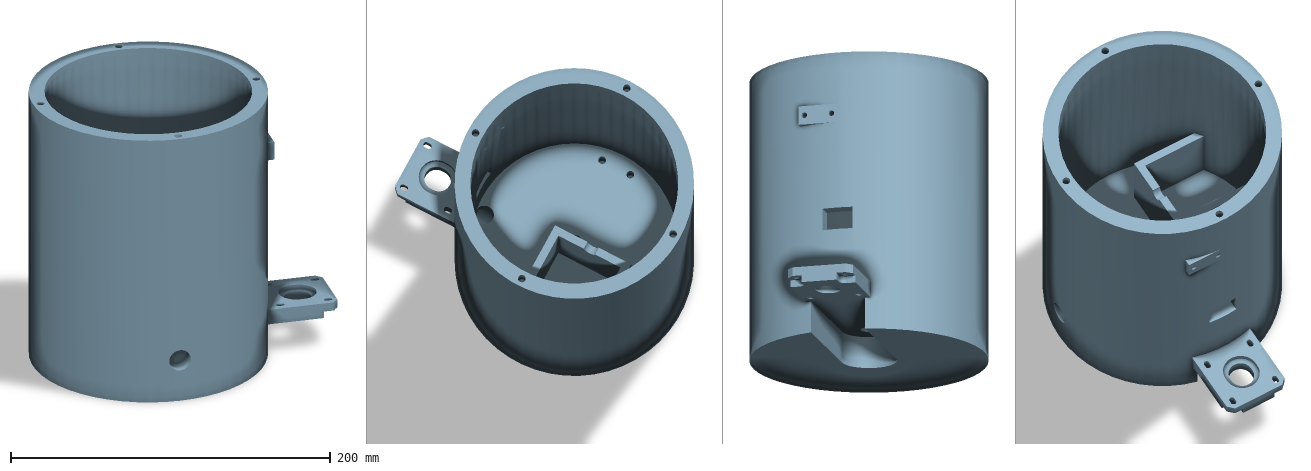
import cadquery as cq

outer_diameter = 150.0
bore_diameter = 130.0
height = 180.0
floor_height = 40.0
outer_radius = outer_diameter / 2
bore_radius = bore_diameter / 2
mid_wall_diameter = (outer_diameter + bore_diameter) / 2
wall_cut_start = 0.9 * bore_radius

screw_diameter = 4.8
screw_depth = 10.0
rim_screw_radius = mid_wall_diameter / 2
floor_screw_x = 56.0
floor_screw_offset = 10.0

chamber_width = 35.1
chamber_height = 20.0
shaft_hole_diameter = 11.0

plate_width = 42.0
plate_thickness = 10.0
overall_length = 193.0
plate_end_y = overall_length - outer_radius
plate_chamfer = 3.9
motor_y = 96.9
motor_screw_pitch = 31.0
slot_travel = 2.0
motor_slot_width = 3.5
motor_hole_diameter = 15.0
boss_recess_diameter = 22.0
boss_recess_depth = 3.0
notch_size = 9.6
notch_height = 4.5
notch_radius = 4.0

compartment_wall = 5.0
compartment_x = -5.0
compartment_y_min = -43.0
compartment_y_max = 11.0
compartment_height = 40.0
wire_groove_diameter = 8.0

duct_diameter = 12.0
duct_x = -10.0
duct_y = 58.5
duct_depth = 10.0

window_width = 19.3
window_height = 13.9
window_z = 72.4
side_hole_diameter = 13.9
side_hole_z = 27.8

pad_width = 25.0
pad_height = 12.0
pad_z = 140.9
pad_screw_spacing = 17.5
pad_screw_diameter = 3.5


def cylinder_z(diameter, bottom, top, x=0.0, y=0.0):
    return cq.Workplane("XY", origin=(x, y, bottom)).circle(diameter / 2).extrude(top - bottom)


def cylinder_y(diameter, x, z, start, end):
    plane = cq.Plane(origin=(x, start, z), xDir=(1, 0, 0), normal=(0, 1, 0))
    return cq.Workplane(plane).circle(diameter / 2).extrude(end - start)


def cylinder_x(diameter, y, z, start, end):
    return cq.Workplane("YZ", origin=(start, y, z)).circle(diameter / 2).extrude(end - start)


def box(x_range, y_range, z_range):
    size = [high - low for low, high in (x_range, y_range, z_range)]
    corner = (x_range[0], y_range[0], z_range[0])
    return cq.Workplane("XY", origin=corner).box(*size, centered=False)


def slot_y(width, x, y, bottom, top):
    """Vertical slot whose length runs along Y."""
    plane = cq.Workplane("XY", origin=(x, y, bottom))
    return plane.slot2D(width + slot_travel, width, 90).extrude(top - bottom)


def make_pad():
    z_range = (pad_z - pad_height / 2, pad_z + pad_height / 2)
    return box((0, pad_width), (0, outer_radius), z_range)


def make_compartment():
    top = floor_height + compartment_height
    z_range = (floor_height, top)
    outer = box((-outer_radius, compartment_x), (compartment_y_min, compartment_y_max), z_range)
    inner = box(
        (-outer_radius, compartment_x - compartment_wall),
        (compartment_y_min + compartment_wall, compartment_y_max - compartment_wall),
        z_range,
    )
    groove_y = (compartment_y_min + compartment_y_max) / 2
    groove = cylinder_x(wire_groove_diameter, groove_y, top, compartment_x - compartment_wall, compartment_x)
    inside_housing = cylinder_z(mid_wall_diameter, floor_height, top)
    return outer.cut(inner).cut(groove).intersect(inside_housing)


def make_plate():
    bottom = chamber_height
    top = bottom + plate_thickness
    half = plate_width / 2
    plate = box((-half, half), (bore_radius, plate_end_y), (bottom, top))
    plate = plate.edges("|Z and >Y").chamfer(plate_chamfer)
    plate = plate.cut(slot_y(motor_hole_diameter, 0, motor_y, bottom, top))
    plate = plate.cut(slot_y(boss_recess_diameter, 0, motor_y, top - boss_recess_depth, top))
    for side in (-1, 1):
        screw_x = side * motor_screw_pitch / 2
        for end in (-1, 1):
            screw_y = motor_y + end * motor_screw_pitch / 2
            plate = plate.cut(slot_y(motor_slot_width, screw_x, screw_y, bottom, top))
        notch = box(
            (half - notch_size, half),
            (plate_end_y - notch_size, plate_end_y),
            (bottom, bottom + notch_height),
        )
        notch = notch.edges("|Z and <X and <Y").fillet(notch_radius)
        plate = plate.cut(notch if side > 0 else notch.mirror("YZ"))
    return plate


def make_chamber():
    half = chamber_width / 2
    run = box((-half, half), (0, outer_radius), (0, chamber_height))
    return run.union(cylinder_z(chamber_width, 0, chamber_height))


def make_duct():
    elbow_z = floor_height - duct_depth
    inlet = cylinder_z(duct_diameter, elbow_z, floor_height, duct_x, duct_y)
    elbow = cq.Workplane("XY", origin=(duct_x, duct_y, elbow_z)).sphere(duct_diameter / 2)
    branch = cylinder_y(duct_diameter, duct_x, elbow_z, duct_y, bore_radius)
    return inlet.union(elbow).union(branch)


def make_window():
    half = window_width / 2
    z_range = (window_z - window_height / 2, window_z + window_height / 2)
    return box((-half, half), (wall_cut_start, outer_radius), z_range)


def screw_hole(x, y, top):
    return cylinder_z(screw_diameter, top - screw_depth, top, x, y)


body = cylinder_z(outer_diameter, 0, height)
body = body.union(make_pad())
body = body.cut(cylinder_z(bore_diameter, floor_height, height))
body = body.union(make_compartment())
body = body.cut(make_chamber())
body = body.union(make_plate())

body = body.cut(cylinder_z(shaft_hole_diameter, chamber_height, floor_height))
body = body.cut(make_duct())
body = body.cut(make_window())
body = body.cut(cylinder_x(side_hole_diameter, 0, side_hole_z, bore_radius, outer_radius))

for x, y in ((1, 0), (0, 1), (-1, 0), (0, -1)):
    body = body.cut(screw_hole(x * rim_screw_radius, y * rim_screw_radius, height))
for side in (-1, 1):
    body = body.cut(screw_hole(floor_screw_x, side * floor_screw_offset, floor_height))
    pad_screw_x = (pad_width + side * pad_screw_spacing) / 2
    body = body.cut(cylinder_y(pad_screw_diameter, pad_screw_x, pad_z, wall_cut_start, outer_radius))

result = body